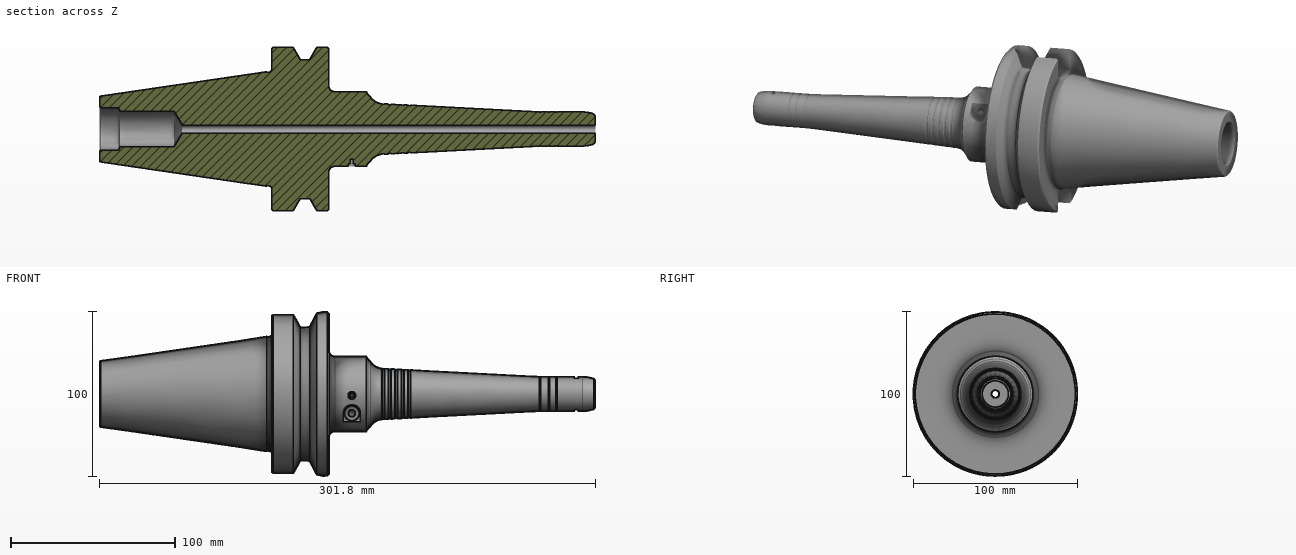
import cadquery as cq
import math

total_length = 301.8

taper_length = 101.7
gauge_radius = 35.0
taper_ratio = 7 / 24
small_end_chamfer = 0.5
small_end_radius = gauge_radius - taper_length * taper_ratio / 2
relief_radius = 34.7
relief_fillet = 1.8

flange_start = 104.7
flange_end = 139.7
flange_diameter = 100.0
flange_radius = flange_diameter / 2
flange_start_chamfer = 1.0
flange_end_chamfer = 1.2
groove_floor_start = 122.2
groove_floor_end = 128.0
groove_floor_radius = 42.5
groove_flank_angle = math.radians(30)
groove_flank_run = (flange_radius - groove_floor_radius) * math.tan(groove_flank_angle)

slot_width = 25.7
slot_floor_height = 35.3
slot_end = 135.8

collar_radius = 23.0
collar_fillet = 3.3
collar_end = 162.5
rim_chamfer_run = 1.0
rim_chamfer_drop = 1.5
shoulder_cone_size = 1.5
shoulder_end = 171.0
shoulder_arc_radius = 9.7

neck_half_angle = math.radians(3)
cone_end = 267.7
nose_radius = 10.5
nose_straight_end = 294.0
nose_edge_radius = 9.5
nose_face_diameter = 16.0
nose_face_chamfer = 1.0
nose_arc_radius = 18.0

neck_groove_count = 5
neck_groove_start = 171.7
neck_groove_span = 16.0
neck_groove_pitch = neck_groove_span / (neck_groove_count - 1)
neck_groove_width = 1.8
nose_groove_starts = (cone_end, 273.0, 277.7)
nose_groove_width = 1.0
ring_groove_depth = 0.3
neck_groove_flank_run = 0.3

mouth_diameter = 27.2
counterbore_diameter = 25.5
counterbore_depth = 11.5
counterbore_seat_length = 1.0
thread_diameter = 21.5
thread_depth = 45.3
drill_point_angle = math.radians(59)
passage_diameter = 4.5

screw_x = 153.5
screw_offset = 11.8
pocket_width = 10.3
pocket_floor = 15.5
screw_head_diameter = 9.0
screw_head_depth = 0.5
screw_socket_diameter = 4.2
screw_socket_depth = 2.5
screw_socket_point = 1.2

pin_hole_z = -1.0
pin_hole_diameter = 4.5
pin_hole_depth = 1.5
pin_core_diameter = 2.5
pin_core_depth = 4.5

notch_start = 289.0
notch_width = 2.5
notch_floor_height = 9.7


def neck_radius(x):
    """Radius of the conical neck at position x."""
    return nose_radius + (cone_end - x) * math.tan(neck_half_angle)


def ring_groove(start, width, flank_run):
    """Ring that cuts a shallow groove with sloped flanks, following the neck surface."""
    end = start + width
    start_radius = neck_radius(min(start, cone_end))
    end_radius = neck_radius(min(end, cone_end))
    return (
        cq.Workplane("XY")
        .moveTo(start + flank_run, start_radius - ring_groove_depth)
        .lineTo(start, start_radius)
        .lineTo(start, start_radius + ring_groove_depth)
        .lineTo(end, end_radius + ring_groove_depth)
        .lineTo(end, end_radius)
        .lineTo(end - flank_run, end_radius - ring_groove_depth)
        .close()
        .revolve(360, (0, 0, 0), (1, 0, 0))
    )


def turned_body():
    """Solid of revolution holding the outer shape."""
    cone_start = collar_end + rim_chamfer_run
    cone_start_radius = collar_radius - rim_chamfer_drop
    return (
        cq.Workplane("XY")
        .lineTo(0, small_end_radius - small_end_chamfer)
        .lineTo(small_end_chamfer, small_end_radius)
        .lineTo(taper_length, gauge_radius)
        .lineTo(taper_length, relief_radius)
        .lineTo(flange_start - relief_fillet, relief_radius)
        .radiusArc((flange_start, relief_radius + relief_fillet), -relief_fillet)
        .lineTo(flange_start, flange_radius - flange_start_chamfer)
        .lineTo(flange_start + flange_start_chamfer, flange_radius)
        .lineTo(groove_floor_start - groove_flank_run, flange_radius)
        .lineTo(groove_floor_start, groove_floor_radius)
        .lineTo(groove_floor_end, groove_floor_radius)
        .lineTo(groove_floor_end + groove_flank_run, flange_radius)
        .lineTo(flange_end - flange_end_chamfer, flange_radius)
        .lineTo(flange_end, flange_radius - flange_end_chamfer)
        .lineTo(flange_end, collar_radius + collar_fillet)
        .radiusArc((flange_end + collar_fillet, collar_radius), -collar_fillet)
        .lineTo(collar_end, collar_radius)
        .lineTo(cone_start, cone_start_radius)
        .lineTo(cone_start + shoulder_cone_size, cone_start_radius - shoulder_cone_size)
        .radiusArc((shoulder_end, neck_radius(shoulder_end)), -shoulder_arc_radius)
        .lineTo(cone_end, nose_radius)
        .lineTo(nose_straight_end, nose_radius)
        .radiusArc((total_length - nose_face_chamfer, nose_edge_radius), nose_arc_radius)
        .lineTo(total_length, nose_face_diameter / 2)
        .lineTo(total_length, 0)
        .close()
        .revolve(360, (0, 0, 0), (1, 0, 0))
    )


def bore():
    """Stepped bore with a drill point and the passage through to the nose."""
    passage_radius = passage_diameter / 2
    point_length = (thread_diameter / 2 - passage_radius) / math.tan(drill_point_angle)
    mouth_chamfer = (mouth_diameter - counterbore_diameter) / 2
    return (
        cq.Workplane("XY")
        .lineTo(0, mouth_diameter / 2)
        .lineTo(mouth_chamfer, counterbore_diameter / 2)
        .lineTo(counterbore_depth, counterbore_diameter / 2)
        .lineTo(counterbore_depth + counterbore_seat_length, thread_diameter / 2)
        .lineTo(thread_depth, thread_diameter / 2)
        .lineTo(thread_depth + point_length, passage_radius)
        .lineTo(total_length, passage_radius)
        .lineTo(total_length, 0)
        .close()
        .revolve(360, (0, 0, 0), (1, 0, 0))
    )


def drive_slot():
    """Slot open towards the taper, with a semicircular far end."""
    end_radius = slot_width / 2
    arc_center = slot_end - end_radius
    return (
        cq.Workplane("XY", origin=(0, 0, slot_floor_height))
        .moveTo(taper_length, -end_radius)
        .lineTo(arc_center, -end_radius)
        .threePointArc((slot_end, 0), (arc_center, end_radius))
        .lineTo(taper_length, end_radius)
        .close()
        .extrude(flange_radius - slot_floor_height)
    )


def hole_from_front(z, diameter, floor):
    """Round hole along Y, entering from -Y and ending at the distance floor from the axis."""
    return (
        cq.Workplane("XZ", origin=(screw_x, -floor, z))
        .circle(diameter / 2)
        .extrude(collar_radius - floor)
    )


def screw_pocket():
    """U-shaped pocket open towards -Z, with the recessed head and socket of its screw."""
    head_floor = pocket_floor - screw_head_depth
    socket_floor = head_floor - screw_socket_depth
    opening_height = collar_radius - screw_offset
    rounded_end = hole_from_front(-screw_offset, pocket_width, pocket_floor)
    opening = cq.Workplane("XY").box(
        pocket_width, collar_radius - pocket_floor, opening_height, centered=(True, False, False)
    ).translate((screw_x, -collar_radius, -collar_radius))
    head = hole_from_front(-screw_offset, screw_head_diameter, head_floor)
    socket = hole_from_front(-screw_offset, screw_socket_diameter, socket_floor)
    point = cq.Workplane(cq.Solid.makeCone(
        screw_socket_diameter / 2, 0, screw_socket_point,
        pnt=cq.Vector(screw_x, -socket_floor, -screw_offset), dir=cq.Vector(0, 1, 0),
    ))
    return rounded_end.union(opening).union(head).union(socket).union(point)


def nose_notch():
    """Flat-bottomed notch across the top of the nose."""
    return cq.Workplane("XY").box(
        notch_width, 2 * nose_radius, nose_radius, centered=(False, True, False)
    ).translate((notch_start, 0, notch_floor_height))


result = turned_body().cut(bore())

for angle in (0, 180):
    for tool in (drive_slot(), screw_pocket(), nose_notch()):
        result = result.cut(tool.rotate((0, 0, 0), (1, 0, 0), angle))

result = result.cut(hole_from_front(pin_hole_z, pin_hole_diameter, collar_radius - pin_hole_depth))
result = result.cut(hole_from_front(pin_hole_z, pin_core_diameter, collar_radius - pin_core_depth))

for index in range(neck_groove_count):
    groove_start = neck_groove_start + index * neck_groove_pitch
    result = result.cut(ring_groove(groove_start, neck_groove_width, neck_groove_flank_run))

for groove_start in nose_groove_starts:
    result = result.cut(ring_groove(groove_start, nose_groove_width, 0))